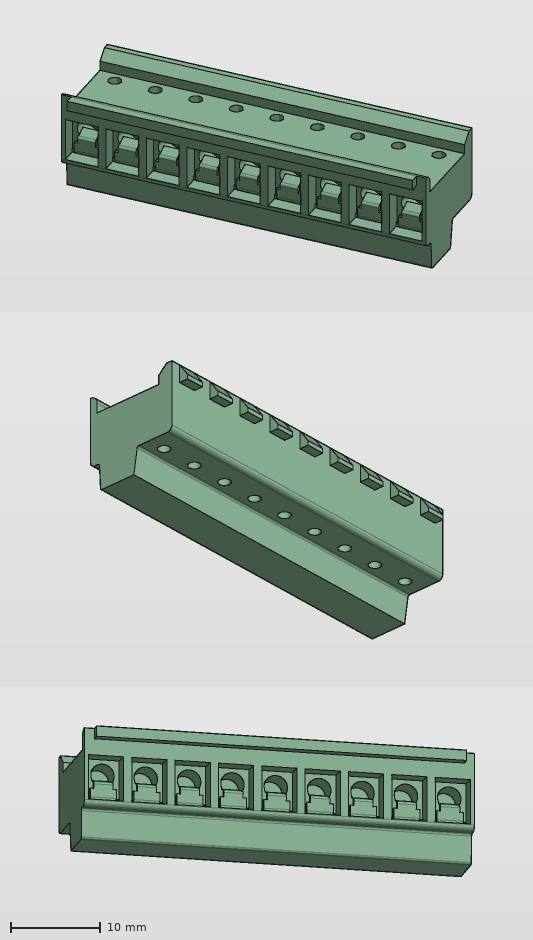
import cadquery as cq
import math

LENGTH = 45.0
POLES = 9
PITCH = LENGTH / POLES
OVERLAP = 0.22

BODY_DEPTH = 12.4
HEIGHT = 12.55
SHOULDER_Z = 3.5
DECK_Z = 10.25
FRONT_WALL = 1.05
REAR_WALL = 2.02
REAR_WALL_TOP = 0.8
REAR_BEVEL_HEIGHT = 1.12
SHOULDER_ROUND = 0.68

PLUG_TOP_FRONT_Y = 1.35
PLUG_TOP_REAR_Y = 7.15
PLUG_BOTTOM_FRONT_Y = 1.55
PLUG_BOTTOM_REAR_Y = 6.6
PLUG_ROOT_ROUND = 0.25
PLUG_TOE_ROUND = 0.22

RAIL_REACH = 1.1
RAIL_HEIGHT = 1.2
RAIL_END_GAP = 1.15
LUG_REACH = 1.2
LUG_WIDTH = 2.45
LUG_TIP_HEIGHT = 0.6

SCREW_HOLE_DIAMETER = 1.55
SCREW_HOLE_Y = 8.95

POCKET_WIDTH = 4.05
POCKET_BACK_WIDTH = 3.82
POCKET_DEPTH = 1.75
POCKET_FLOOR_Z = 4.28
POCKET_FLOOR_RISE = 0.15
POCKET_TOP_Z = 9.45
SILL_TOP_Z = 4.9
SILL_DEPTH = 0.15

WIRE_HOLE_RADIUS = 1.35
WIRE_HOLE_Z = 7.6
WIRE_HOLE_BOTTOM_Y = 4.5

TONGUE_FRONT_Y = 1.25
TONGUE_WIDTH = 3.0
TONGUE_NECK_WIDTH = 2.2
TONGUE_SHOULDER_Z = 5.95
TONGUE_TOP_Z = 6.7
TONGUE_TOP_ROUND = 0.35
TONGUE_FOOT_ROUND = 0.55
RAMP_SLOPE = 20.0
RAMP_RISE = 0.55
RAMP_LENGTH = RAMP_RISE / math.tan(math.radians(RAMP_SLOPE))
RAMP_END_Y = TONGUE_FRONT_Y + RAMP_LENGTH

POLE_CENTRES = [PITCH * (i + 0.5) for i in range(POLES)]


def extrude_along_x(points, start, length):
    """Extrude a (Y, Z) outline along X."""
    return cq.Workplane("YZ", origin=(start, 0, 0)).polyline(points).close().extrude(length)


def centred_on_x(points, centre, width):
    """Extrude a (Y, Z) outline by a width split evenly about an X position."""
    return extrude_along_x(points, centre - width / 2, width)


def round_edge(body, x, y, z, radius):
    """Fillet the edge whose midpoint is nearest to the given point."""
    return body.edges(cq.selectors.NearestToPointSelector((x, y, z))).fillet(radius)


def make_housing():
    round_start_z = HEIGHT - FRONT_WALL
    round_middle = FRONT_WALL * math.sqrt(0.5)
    rest_of_outline = [
        (FRONT_WALL, DECK_Z),
        (BODY_DEPTH - REAR_WALL, DECK_Z),
        (BODY_DEPTH - REAR_WALL, HEIGHT - REAR_BEVEL_HEIGHT),
        (BODY_DEPTH - REAR_WALL_TOP, HEIGHT),
        (BODY_DEPTH, HEIGHT),
        (BODY_DEPTH, SHOULDER_Z),
        (PLUG_TOP_REAR_Y, SHOULDER_Z),
        (PLUG_BOTTOM_REAR_Y, 0),
        (PLUG_BOTTOM_FRONT_Y, 0),
        (PLUG_TOP_FRONT_Y, SHOULDER_Z),
        (0, SHOULDER_Z),
    ]
    section = (
        cq.Workplane("YZ")
        .moveTo(0, SHOULDER_Z)
        .lineTo(0, HEIGHT)
        .threePointArc((round_middle, round_start_z + round_middle), (FRONT_WALL, round_start_z))
        .polyline(rest_of_outline, includeCurrent=True)
        .close()
    )
    rounds = [
        (0, SHOULDER_Z, SHOULDER_ROUND),
        (BODY_DEPTH, SHOULDER_Z, SHOULDER_ROUND),
        (PLUG_TOP_FRONT_Y, SHOULDER_Z, PLUG_ROOT_ROUND),
        (PLUG_TOP_REAR_Y, SHOULDER_Z, PLUG_ROOT_ROUND),
        (PLUG_BOTTOM_FRONT_Y, 0, PLUG_TOE_ROUND),
    ]
    housing = section.extrude(LENGTH)
    for y, z, radius in rounds:
        housing = round_edge(housing, LENGTH / 2, y, z, radius)
    return housing


def make_rail():
    bottom = HEIGHT - RAIL_HEIGHT
    outline = [(-RAIL_REACH, bottom), (-RAIL_REACH, HEIGHT), (0, HEIGHT), (0, bottom)]
    return centred_on_x(outline, LENGTH / 2, LENGTH - 2 * RAIL_END_GAP)


def make_lug(x):
    tip_y = BODY_DEPTH + LUG_REACH
    root_y = BODY_DEPTH - OVERLAP
    outline = [
        (root_y, DECK_Z),
        (tip_y, DECK_Z),
        (tip_y, DECK_Z + LUG_TIP_HEIGHT),
        (BODY_DEPTH, HEIGHT),
        (root_y, HEIGHT),
    ]
    return centred_on_x(outline, x, LUG_WIDTH)


def make_screw_hole(x):
    return cq.Workplane("XY").center(x, SCREW_HOLE_Y).circle(SCREW_HOLE_DIAMETER / 2).extrude(HEIGHT)


def make_pocket(x):
    """Wire pocket with side walls closing in and floor rising towards the back, less its sill."""
    front = POCKET_WIDTH / 2
    back = POCKET_BACK_WIDTH / 2
    plan = [(x - front, 0), (x + front, 0), (x + back, POCKET_DEPTH), (x - back, POCKET_DEPTH)]
    sill_y = POCKET_DEPTH - SILL_DEPTH
    side = [
        (0, POCKET_FLOOR_Z),
        (sill_y, POCKET_FLOOR_Z + POCKET_FLOOR_RISE),
        (sill_y, SILL_TOP_Z),
        (POCKET_DEPTH, SILL_TOP_Z),
        (POCKET_DEPTH, POCKET_TOP_Z),
        (0, POCKET_TOP_Z),
    ]
    tapered = cq.Workplane("XY").polyline(plan).close().extrude(HEIGHT)
    return centred_on_x(side, x, POCKET_WIDTH).intersect(tapered)


def make_wire_hole(x):
    """Blind round hole from the pocket's back wall, running on behind the tongue."""
    plane = cq.Workplane("XZ", origin=(x, WIRE_HOLE_BOTTOM_Y, WIRE_HOLE_Z))
    return plane.circle(WIRE_HOLE_RADIUS).extrude(WIRE_HOLE_BOTTOM_Y - POCKET_DEPTH + OVERLAP)


def make_tongue(x):
    foot_z = SILL_TOP_Z - TONGUE_FOOT_ROUND
    back_y = POCKET_DEPTH + OVERLAP
    end_z = TONGUE_TOP_Z + RAMP_RISE
    base_outline = [
        (TONGUE_FRONT_Y, foot_z),
        (TONGUE_FRONT_Y, TONGUE_SHOULDER_Z),
        (back_y, TONGUE_SHOULDER_Z),
        (back_y, foot_z),
    ]
    base = centred_on_x(base_outline, x, TONGUE_WIDTH)
    base = round_edge(base, x, TONGUE_FRONT_Y, foot_z, TONGUE_FOOT_ROUND)
    neck_outline = [
        (TONGUE_FRONT_Y, SILL_TOP_Z),
        (TONGUE_FRONT_Y, TONGUE_TOP_Z),
        (RAMP_END_Y, end_z),
        (RAMP_END_Y, SILL_TOP_Z),
    ]
    neck = centred_on_x(neck_outline, x, TONGUE_NECK_WIDTH)
    neck = round_edge(neck, x, TONGUE_FRONT_Y, TONGUE_TOP_Z, TONGUE_TOP_ROUND)
    return base.union(neck)


result = make_housing().union(make_rail())
for pole_x in POLE_CENTRES:
    result = result.union(make_lug(pole_x))
    result = result.cut(make_pocket(pole_x))
    result = result.cut(make_wire_hole(pole_x))
    result = result.union(make_tongue(pole_x))
    result = result.cut(make_screw_hole(pole_x))